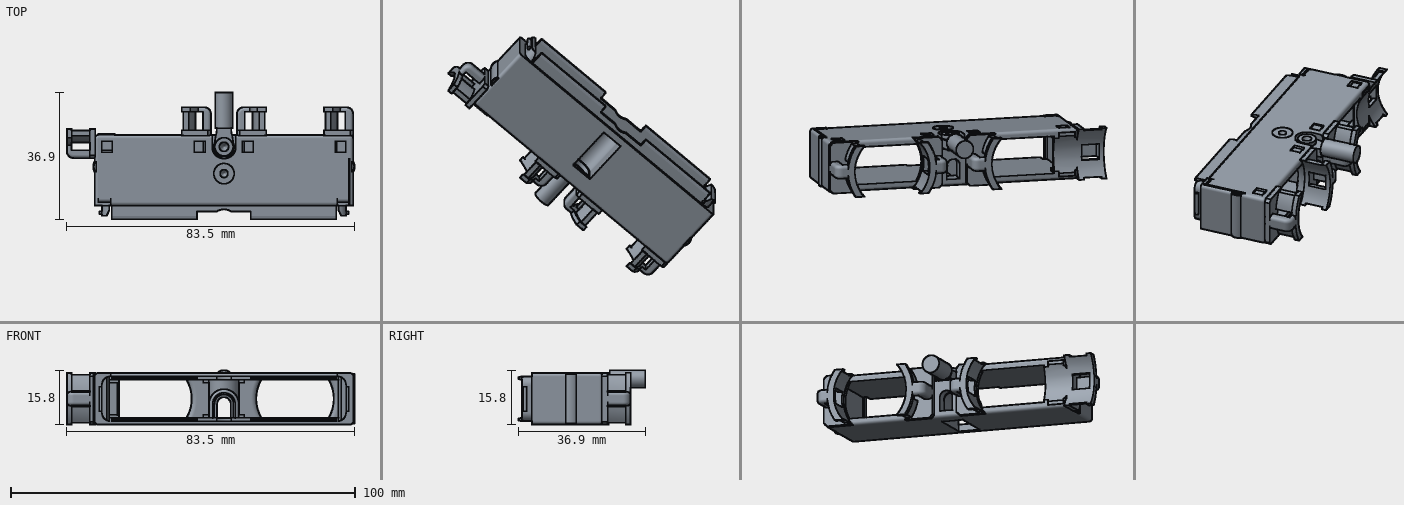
import cadquery as cq
import math

EPS = 0.2

BODY_X = 75.0
BODY_Y = 20.5
BODY_Z = 15.0
HALF_X = BODY_X / 2
MID_Z = BODY_Z / 2
EDGE_R = 1.0
BACK_EDGE_R = 0.95
PLATE_T = 2.0
CAVITY_HALF_X = 33.8
COVER_HALF_X = 32.8
BACK_T = 2.6
BACK_IN_Y = BODY_Y - BACK_T

SHEET_T = 1.0
SHEET_HALF_X = 32.6
SHEET_LEN = 4.0
SHEET_TIP_LEN = 1.0
SHEET_TIP_DROP = 0.25
SHEET_NOTCH_HALF_X = 7.75
SHEET_NOTCH_Y = -1.7
SHEET_BITE_HALF_X = 2.1
SHEET_BITE_DEPTH = 0.6

LUG_OUT_X = 35.4
LUG_IN_X = 33.2
LUG_TIP_X = 34.0
LUG_LEN = 2.95
LUG_STRAIGHT = 1.3
LUG_R = 2.5
LUG_RIB_Y = -2.05
LUG_RIB_R = 0.5
LUG_RIB_OUT = 0.8
LUG_RIB_Z = 7.1

CORNER_GROOVE_R = 1.0
CORNER_GROOVE_Y = 1.0
CORNER_GROOVE_OUT_X = HALF_X - EDGE_R

SEAM_W = 0.3
SEAM_DEPTH = 0.2
SEAM_END_Y = 13.6
SEAM_START_Y = 0.6

RIDGE_Y = 11.3
RIDGE_HALF_W = 1.5
RIDGE_OUT = 0.44
RIDGE_END = 0.2

LEFT_OPEN_X = -20.4
LEFT_OPEN_R = 11.0
LEFT_OPEN_EDGE_X = -30.4
RIGHT_OPEN_X = 20.6
RIGHT_OPEN_R = 11.2
OPEN_FLARE = 1.5
FRAME_STEP = 0.6

HOOK_ARC_R = 11.0
HOOK_BAND = 2.0
HOOK_WEB = 1.3
HOOK_WEB_INSET = 0.5
HOOK_PEAK = 5.6
HOOK_DEPTH = 8.08
HOOK_PLATE = 1.4
HOOK_ARM_T = 2.35
HOOK_ARM_W = 4.0
HOOK_ARM_R = 1.0
HOOK_BEND_R = 2.0
HOOK_WINDOW = 4.6
HOOK_BASE_CHAMFER = 0.9
SIDE_HOOK_Y = 13.75
INNER_HOOK_X = 3.73

PIVOT_Y = 17.07
POCKET_R = 3.45
POCKET_FLOOR = 11.0
HUB_R = 2.95
HUB_TOP = 13.6
HUB_DISC_R = 2.65
HUB_DISC_TOP = 14.8
HUB_SOCKET_R = 1.35
HUB_SOCKET_DEPTH = 3.0
NECK_HALF_W = 2.15
NECK_STRAIGHT = 1.0
PIN_R = 2.59
PIN_Z = 13.23
PIN_START_Y = 22.5
PIN_END_Y = 32.88

BOSS_R = 4.4
ARCH_CENTRE_Z = 6.0
ARCH_R = 1.95
ARCH_STEP_R = 2.75
ARCH_MOUTH_R = 3.25
ARCH_SHELL_R = 4.3
ARCH_SHELL_Y = 2.0
ARCH_SHELL_ROUND = 0.9
ARCH_STEP_END_Y = 17.0
ARCH_MOUTH_END_Y = 15.5
FOOT_HALF_X = 5.95
FOOT_Z = 0.85
FOOT_LEN = 1.5

SCREW_Y = 9.3
SCREW_R = 2.96
SCREW_SOCKET_R = 1.15
SCREW_SINK = 0.1
SCREW_SOCKET_DEPTH = 1.8

LATCH_SIDE = 3.1
LATCH_Y = 17.07
LATCH_DEPTH = 0.4
LATCH_RAMP = 0.5
LATCH_CENTRES_X = (-33.9, -7.0, 6.9, 33.8)

PAD_LEN = 5.8
PAD_T = 0.3


def block(x0, x1, y0, y1, z0, z1):
    """Axis-aligned block between two opposite corners."""
    size = (x1 - x0, y1 - y0, z1 - z0)
    return cq.Workplane("XY").box(*size, centered=False).translate((x0, y0, z0))


def cylinder_z(x, y, radius, z0, z1):
    return cq.Workplane("XY").workplane(offset=z0).center(x, y).circle(radius).extrude(z1 - z0)


def cone_socket(y, radius, depth, z_top):
    """Conical driver recess on the centre line, point down."""
    cone = cq.Solid.makeCone(0, radius, depth)
    return cq.Workplane(cone).translate((0, y, z_top - depth))


def housing():
    shell = block(-HALF_X, HALF_X, 0, BODY_Y, 0, BODY_Z)
    shell = shell.edges("|Y").fillet(EDGE_R)
    shell = shell.faces(">Y").edges(">Z").fillet(BACK_EDGE_R)
    cavity = block(-CAVITY_HALF_X, CAVITY_HALF_X, -EPS, BACK_IN_Y, PLATE_T, BODY_Z - PLATE_T)
    return shell.cut(cavity)


def quarter_round(x0, x1, y_front, radius):
    """Material above a rounded top edge that drops to its lowest at y_front."""
    mid = radius * (1 - math.sqrt(0.5))
    return (
        cq.Workplane("YZ").workplane(offset=x0)
        .moveTo(y_front, BODY_Z + EPS)
        .lineTo(y_front, BODY_Z - radius)
        .threePointArc((y_front + mid, BODY_Z - mid), (y_front + radius, BODY_Z))
        .lineTo(y_front + radius, BODY_Z + EPS)
        .close()
        .extrude(x1 - x0)
    )


def front_edge_cuts():
    """Rounded front edge of the top plate and the grooves at its two corners."""
    cuts = quarter_round(-COVER_HALF_X, COVER_HALF_X, 0, EDGE_R)
    for x0 in (-CORNER_GROOVE_OUT_X, COVER_HALF_X):
        x1 = x0 + CORNER_GROOVE_OUT_X - COVER_HALF_X
        cuts = cuts.union(quarter_round(x0, x1, CORNER_GROOVE_Y, CORNER_GROOVE_R))
    return cuts


def edge_seam():
    x1 = HALF_X - EDGE_R
    return block(x1 - SEAM_W, x1, SEAM_START_Y, SEAM_END_Y, BODY_Z - SEAM_DEPTH, BODY_Z + EPS)


def sheet(z_bottom):
    """Tongue plate with a bevelled tip and a notched middle."""
    z_top = z_bottom + SHEET_T
    tip_y = -SHEET_LEN
    bevel_y = tip_y + SHEET_TIP_LEN
    plate = (
        cq.Workplane("YZ").workplane(offset=-SHEET_HALF_X)
        .polyline([
            (EPS, z_bottom),
            (bevel_y, z_bottom),
            (tip_y, z_bottom + SHEET_TIP_DROP),
            (tip_y, z_top - SHEET_TIP_DROP),
            (bevel_y, z_top),
            (EPS, z_top),
        ])
        .close()
        .extrude(2 * SHEET_HALF_X)
    )
    notch = (
        cq.Workplane("XY").workplane(offset=z_bottom)
        .moveTo(-SHEET_NOTCH_HALF_X, tip_y - EPS)
        .lineTo(-SHEET_NOTCH_HALF_X, SHEET_NOTCH_Y)
        .lineTo(-SHEET_BITE_HALF_X, SHEET_NOTCH_Y)
        .threePointArc((0, SHEET_NOTCH_Y + SHEET_BITE_DEPTH), (SHEET_BITE_HALF_X, SHEET_NOTCH_Y))
        .lineTo(SHEET_NOTCH_HALF_X, SHEET_NOTCH_Y)
        .lineTo(SHEET_NOTCH_HALF_X, tip_y - EPS)
        .close()
        .extrude(SHEET_T)
    )
    return plate.cut(notch)


def right_lug():
    """Snap lug at the right end, with a rounded latch rib on its outer side."""
    lug = (
        cq.Workplane("XY").workplane(offset=SHEET_T)
        .polyline([
            (LUG_IN_X, EPS),
            (LUG_OUT_X, EPS),
            (LUG_OUT_X, -LUG_LEN),
            (LUG_TIP_X, -LUG_LEN),
            (LUG_IN_X, -LUG_STRAIGHT),
        ])
        .close()
        .extrude(BODY_Z - 2 * SHEET_T)
    )
    rounded = block(0, LUG_OUT_X, -LUG_LEN, EPS, SHEET_T, BODY_Z - SHEET_T)
    rounded = rounded.edges("|Y and >X").fillet(LUG_R)
    rib_centre_x = LUG_OUT_X + LUG_RIB_OUT - LUG_RIB_R
    rib_z0 = MID_Z - LUG_RIB_Z / 2
    rib_z1 = MID_Z + LUG_RIB_Z / 2
    rib = cylinder_z(rib_centre_x, LUG_RIB_Y, LUG_RIB_R, rib_z0, rib_z1)
    root = block(
        LUG_OUT_X - EPS, rib_centre_x,
        LUG_RIB_Y - LUG_RIB_R, LUG_RIB_Y + LUG_RIB_R,
        rib_z0, rib_z1,
    )
    return lug.intersect(rounded).union(rib).union(root)


def right_ridge():
    return (
        cq.Workplane("XY").workplane(offset=RIDGE_END)
        .moveTo(HALF_X - EDGE_R, RIDGE_Y - RIDGE_HALF_W)
        .lineTo(HALF_X, RIDGE_Y - RIDGE_HALF_W)
        .threePointArc((HALF_X + RIDGE_OUT, RIDGE_Y), (HALF_X, RIDGE_Y + RIDGE_HALF_W))
        .lineTo(HALF_X - EDGE_R, RIDGE_Y + RIDGE_HALF_W)
        .close()
        .extrude(BODY_Z - 2 * RIDGE_END)
        .edges(">X and (>Z or <Z)").chamfer(RIDGE_OUT / 2)
    )


def round_opening(x, radius):
    """Round hole through the back wall, its inner rim rounded outwards, cut to the cavity height."""
    rim_y = BACK_IN_Y + OPEN_FLARE
    mid = OPEN_FLARE * (1 - math.sqrt(0.5))
    hole = (
        cq.Workplane("XY")
        .moveTo(0, BACK_IN_Y)
        .lineTo(radius + OPEN_FLARE, BACK_IN_Y)
        .threePointArc((radius + mid, BACK_IN_Y + mid), (radius, rim_y))
        .lineTo(radius, BODY_Y + EPS)
        .lineTo(0, BODY_Y + EPS)
        .close()
        .revolve(360, (0, 0, 0), (0, 1, 0))
        .translate((x, 0, MID_Z))
    )
    reach = radius + OPEN_FLARE
    limit = block(x - reach, x + reach, 0, BODY_Y + EPS, PLATE_T, BODY_Z - PLATE_T)
    return hole.intersect(limit)


def left_opening():
    """Opening with a round inner end and a straight, stepped outer end."""
    z1 = BODY_Z - PLATE_T
    straight = block(LEFT_OPEN_EDGE_X, LEFT_OPEN_X, 0, BODY_Y + EPS, PLATE_T, z1)
    inner_side = block(LEFT_OPEN_X - EPS, 0, 0, BODY_Y + EPS, 0, BODY_Z)
    round_end = round_opening(LEFT_OPEN_X, LEFT_OPEN_R).intersect(inner_side)
    step_x = LEFT_OPEN_EDGE_X - FRAME_STEP
    step = block(step_x, LEFT_OPEN_X, 0, BACK_IN_Y + FRAME_STEP, PLATE_T, z1)
    return straight.union(round_end).union(step)


def annulus_band(inner_r, outer_r, half_z, u0, u1):
    """Saddle-shaped band around the bundle axis, between depths u0 and u1."""
    centre_v = HOOK_PEAK + HOOK_ARC_R
    ring = (
        cq.Workplane("XZ", origin=(centre_v, u0, MID_Z))
        .circle(outer_r).circle(inner_r)
        .extrude(u0 - u1)
    )
    limit = block(0, centre_v, u0, u1, MID_Z - half_z, MID_Z + half_z)
    return ring.intersect(limit)


def hook():
    """Hook standing on y = 0 and growing towards +Y, its arm at x = 0 and its saddle open to +X."""
    centre_v = HOOK_PEAK + HOOK_ARC_R
    band_r = HOOK_ARC_R + HOOK_BAND
    outer_u = HOOK_DEPTH - HOOK_PLATE
    mouth_v = centre_v - math.sqrt(HOOK_ARC_R ** 2 - MID_Z ** 2)
    saddle = (
        cq.Workplane("XZ", origin=(centre_v, -EPS, MID_Z))
        .circle(HOOK_ARC_R)
        .extrude(-EPS - HOOK_DEPTH)
    )

    base = block(0, mouth_v, -EPS, HOOK_PLATE, 0, BODY_Z)
    base = base.edges("|Y and <X").chamfer(HOOK_BASE_CHAMFER).cut(saddle)
    outer = annulus_band(HOOK_ARC_R, band_r, MID_Z, outer_u, HOOK_DEPTH)
    web = annulus_band(
        HOOK_ARC_R, HOOK_ARC_R + HOOK_WEB, MID_Z - HOOK_WEB_INSET, HOOK_PLATE, outer_u
    )
    window = block(
        0, centre_v, HOOK_PLATE, outer_u,
        MID_Z - HOOK_WINDOW / 2, MID_Z + HOOK_WINDOW / 2,
    )
    web = web.cut(window)

    arm_z0 = MID_Z - HOOK_ARM_W / 2
    arm_z1 = MID_Z + HOOK_ARM_W / 2
    bar_end_v = HOOK_PEAK - HOOK_BAND / 2
    arm = block(0, bar_end_v, 0, HOOK_DEPTH, arm_z0, arm_z1)
    arm = arm.edges("|Z and <X and >Y").fillet(HOOK_BEND_R)
    arm = arm.faces("<X").edges("|Y").fillet(HOOK_ARM_R)
    arm = arm.cut(block(HOOK_ARM_T, centre_v, HOOK_PLATE, outer_u, arm_z0, arm_z1))
    return base.union(outer).union(web).union(arm)


def all_hooks():
    plain = hook()
    flipped = plain.mirror("YZ")
    side = plain.rotate((0, 0, 0), (0, 0, 1), 90).translate((-HALF_X, SIDE_HOOK_Y, 0))
    inner_right = plain.translate((INNER_HOOK_X, BODY_Y, 0))
    inner_left = flipped.translate((-INNER_HOOK_X, BODY_Y, 0))
    outer_right = flipped.translate((HALF_X, BODY_Y, 0))
    return [side, inner_right, inner_left, outer_right]


def side_saddle_cut():
    """Saddle of the side hook continued across the left rear corner to the left opening."""
    centre_y = SIDE_HOOK_Y + HOOK_PEAK + HOOK_ARC_R
    x0 = -HALF_X - EPS
    return (
        cq.Workplane("YZ", origin=(x0, centre_y, MID_Z))
        .circle(HOOK_ARC_R)
        .extrude(LEFT_OPEN_EDGE_X + EPS - x0)
    )


def boss():
    """Round boss in front of the back wall with small feet against the top and bottom plates."""
    body = cylinder_z(0, PIVOT_Y, BOSS_R, PLATE_T - EPS, BODY_Z - PLATE_T + EPS)
    body = body.intersect(block(-BOSS_R, BOSS_R, 0, BODY_Y - EDGE_R, 0, BODY_Z))
    for z0 in (PLATE_T, BODY_Z - PLATE_T - FOOT_Z):
        foot = block(-FOOT_HALF_X, FOOT_HALF_X, BACK_IN_Y - FOOT_LEN, BODY_Y - EDGE_R, z0, z0 + FOOT_Z)
        body = body.union(foot)
    return body


def left_feet():
    """Feet in the left rear corners of the cavity, beside the left opening."""
    lower = block(
        -CAVITY_HALF_X - EPS, LEFT_OPEN_EDGE_X,
        BACK_IN_Y - FOOT_LEN, BACK_IN_Y + EPS, PLATE_T, PLATE_T + FOOT_Z,
    )
    return lower.union(lower.translate((0, 0, BODY_Z - 2 * PLATE_T - FOOT_Z)))


def arch(radius, y0, y1, z0):
    """Solid with an arched section, running along Y and standing on z0."""
    return (
        cq.Workplane("XZ", origin=(0, y0, 0))
        .moveTo(-radius, z0)
        .lineTo(-radius, ARCH_CENTRE_Z)
        .threePointArc((0, ARCH_CENTRE_Z + radius), (radius, ARCH_CENTRE_Z))
        .lineTo(radius, z0)
        .close()
        .extrude(y0 - y1)
    )


def arch_shell():
    """Arched shell reaching from the boss to the front, its outer front edge rounded."""
    shell = arch(ARCH_SHELL_R, ARCH_SHELL_Y, PIVOT_Y, PLATE_T - EPS)
    front_rim = cq.selectors.BoxSelector(
        (-BOSS_R, ARCH_SHELL_Y - EPS, PLATE_T),
        (BOSS_R, ARCH_SHELL_Y + EPS, BODY_Z),
    )
    return shell.edges(front_rim).fillet(ARCH_SHELL_ROUND)


def arch_cut():
    """Stepped arch through shell and boss; the wide front part is open downwards."""
    passage = arch(ARCH_R, ARCH_SHELL_Y, BODY_Y + EPS, PLATE_T)
    step = arch(ARCH_STEP_R, ARCH_SHELL_Y, ARCH_STEP_END_Y, PLATE_T)
    mouth = arch(ARCH_MOUTH_R, ARCH_SHELL_Y, ARCH_MOUTH_END_Y, -EPS)
    return passage.union(step).union(mouth)


def pin_pocket():
    pocket = cylinder_z(0, PIVOT_Y, POCKET_R, POCKET_FLOOR, BODY_Z + EPS)
    exit_slot = block(-POCKET_R, POCKET_R, PIVOT_Y, BODY_Y + EPS, POCKET_FLOOR, BODY_Z + EPS)
    return pocket.union(exit_slot)


def swivel_pin():
    """Hub in the pocket, tapered neck and the round pin pointing backwards."""
    floor = POCKET_FLOOR - EPS
    hub = cylinder_z(0, PIVOT_Y, HUB_R, floor, HUB_TOP)
    disc = cylinder_z(0, PIVOT_Y, HUB_DISC_R, floor, HUB_DISC_TOP)
    neck = (
        cq.Workplane("XY").workplane(offset=POCKET_FLOOR)
        .polyline([
            (-HUB_R, PIVOT_Y),
            (HUB_R, PIVOT_Y),
            (NECK_HALF_W, PIN_START_Y - NECK_STRAIGHT),
            (NECK_HALF_W, PIN_START_Y + EPS),
            (-NECK_HALF_W, PIN_START_Y + EPS),
            (-NECK_HALF_W, PIN_START_Y - NECK_STRAIGHT),
        ])
        .close()
        .extrude(HUB_TOP - POCKET_FLOOR)
    )
    pin = (
        cq.Workplane("XZ", origin=(0, PIN_START_Y, PIN_Z))
        .circle(PIN_R)
        .extrude(PIN_START_Y - PIN_END_Y)
    )
    socket = cone_socket(PIVOT_Y, HUB_SOCKET_R, HUB_SOCKET_DEPTH, HUB_DISC_TOP)
    return hub.union(neck).union(disc).union(pin).cut(socket)


def screw_cut():
    head_z = BODY_Z - SCREW_SINK
    head = cylinder_z(0, SCREW_Y, SCREW_R, head_z, BODY_Z + EPS)
    socket = cone_socket(SCREW_Y, SCREW_SOCKET_R, SCREW_SOCKET_DEPTH, head_z)
    return head.union(socket)


def latch_recess():
    """Square recess centred on the origin, its -X side sloping to the floor."""
    half = LATCH_SIDE / 2
    return (
        cq.Workplane("XZ", origin=(0, half, BODY_Z))
        .polyline([
            (-half, 0),
            (-half + LATCH_RAMP, -LATCH_DEPTH),
            (half, -LATCH_DEPTH),
            (half, 0),
        ])
        .close()
        .extrude(LATCH_SIDE)
    )


def latch_recesses():
    """The ramps face the pivot, except at the left end where the ramp faces the front."""
    turns = (90, 180, 0, 0)
    recesses = []
    for x, turn in zip(LATCH_CENTRES_X, turns):
        recess = latch_recess().rotate((0, 0, 0), (0, 0, 1), turn)
        recesses.append(recess.translate((x, LATCH_Y, 0)))
    return recesses


def back_pad():
    return block(
        -HALF_X + EDGE_R, -HALF_X + PAD_LEN, BODY_Y - EPS, BODY_Y + PAD_T,
        EDGE_R, BODY_Z - EDGE_R,
    )


part = housing().cut(front_edge_cuts()).cut(edge_seam())
part = part.cut(left_opening()).cut(round_opening(RIGHT_OPEN_X, RIGHT_OPEN_R))
part = part.union(boss()).union(arch_shell()).union(left_feet())
part = part.cut(arch_cut()).cut(pin_pocket()).cut(screw_cut())
for recess in latch_recesses():
    part = part.cut(recess)
for sheet_z in (SHEET_T, BODY_Z - 2 * SHEET_T):
    part = part.union(sheet(sheet_z))
for side_feature in (right_lug(), right_ridge()):
    part = part.union(side_feature).union(side_feature.mirror("YZ"))
for one_hook in all_hooks():
    part = part.union(one_hook)
result = part.union(back_pad()).cut(side_saddle_cut()).union(swivel_pin())